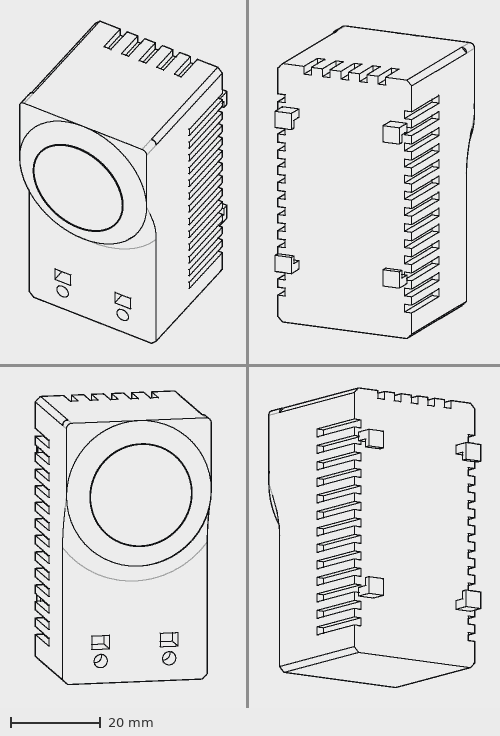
import cadquery as cq
import math

width = 33.0
height = 60.0
body_depth = 28.6
head_depth = 32.75
corner = 1.2

dial_radius = width / 2
dial_z = height - dial_radius
dome_tip = 37.0
groove_outer_radius = 11.65
groove_width = 0.1
groove_floor = 34.8

slot_width = 1.8
slot_depth = 1.8
side_slot_count = 13
side_slot_row = 44.9
side_slot_length = 14.35
side_slot_middle_z = 29.45
top_slot_count = 5
top_slot_pitch = 4.55
top_slot_length = 7.0

hook_width = 4.0
hook_reach = 3.95
hook_arm = 2.0
hook_lip = 1.4
hook_height = 3.8
hook_outer_x = width / 2 - corner
upper_hook_z = 50.0
lower_hook_z = 12.8

terminal_x = 7.8
terminal_depth = 6.0
window_width = 4.1
window_height = 3.05
window_z = 9.25
screw_diameter = 3.0
screw_z = 5.05


def block(x_min, x_max, y_min, y_max, z_min, z_max):
    """Box given by its limits along each axis."""
    size = (x_max - x_min, y_max - y_min, z_max - z_min)
    return cq.Workplane("XY").box(*size, centered=False).translate((x_min, y_min, z_min))


def revolve_about_dial(profile):
    """Turn a profile of (radius, Y) points about the dial axis."""
    return profile.close().revolve(360, (0, 0, 0), (0, 1, 0)).translate((0, 0, dial_z))


def make_body():
    body = block(-width / 2, width / 2, -body_depth, 0, 0, height)
    return body.edges("|Y").chamfer(corner)


def make_head():
    """Raised upper block that flares from the dial rim down to the body face."""
    upper = block(-width / 2, width / 2, -head_depth, -body_depth, dial_z, height)
    upper = upper.edges("|Y and >Z").fillet(corner)

    flare = head_depth - body_depth
    foot_radius = dial_radius + flare
    arc_middle = (
        foot_radius - flare * math.sqrt(0.5),
        -head_depth + flare * math.sqrt(0.5),
    )
    skirt = revolve_about_dial(
        cq.Workplane("XY")
        .moveTo(0, -head_depth)
        .lineTo(dial_radius, -head_depth)
        .threePointArc(arc_middle, (foot_radius, -body_depth))
        .lineTo(0, -body_depth)
    )
    lower_half = block(-width / 2, width / 2, -head_depth, -body_depth, 0, dial_z)
    return upper.union(skirt.intersect(lower_half))


def make_dome():
    """Shallow spherical cap with a fine ring groove around the dial."""
    rise = dome_tip - head_depth
    sphere_radius = (dial_radius**2 + rise**2) / (2 * rise)
    middle_radius = dial_radius / 2
    middle_y = sphere_radius - dome_tip - math.sqrt(sphere_radius**2 - middle_radius**2)
    cap = revolve_about_dial(
        cq.Workplane("XY")
        .moveTo(0, -body_depth)
        .lineTo(0, -dome_tip)
        .threePointArc((middle_radius, middle_y), (dial_radius, -head_depth))
        .lineTo(dial_radius, -body_depth)
    )
    groove = (
        cq.Workplane("XZ", origin=(0, -groove_floor, dial_z))
        .circle(groove_outer_radius)
        .circle(groove_outer_radius - groove_width)
        .extrude(dome_tip - groove_floor)
    )
    return cap.cut(groove)


def make_hook_pair(z_outer, lip_direction):
    """Pair of hooks at one level; the lips point up (+1) or down (-1)."""
    z_arm = z_outer + lip_direction * hook_arm
    z_tip = z_outer + lip_direction * hook_height
    profile = [
        (0, z_outer),
        (hook_reach, z_outer),
        (hook_reach, z_tip),
        (hook_reach - hook_lip, z_tip),
        (hook_reach - hook_lip, z_arm),
        (0, z_arm),
    ]
    left = cq.Workplane("YZ", origin=(-hook_outer_x, 0, 0)).polyline(profile).close().extrude(hook_width)
    return left.union(left.mirror("YZ"))


def make_slots():
    """Slots open to the back: a row up each side and a row across the top."""
    slots = cq.Workplane("XY")
    for index in range(side_slot_count):
        z = side_slot_middle_z + (index / (side_slot_count - 1) - 0.5) * side_slot_row
        z_min = z - slot_width / 2
        inner_x = width / 2 - slot_depth
        side_slot = block(inner_x, width / 2, -side_slot_length, 0, z_min, z_min + slot_width)
        slots = slots.add(side_slot).add(side_slot.mirror("YZ"))
    for index in range(top_slot_count):
        x_min = (index - (top_slot_count - 1) / 2) * top_slot_pitch - slot_width / 2
        slots = slots.add(
            block(x_min, x_min + slot_width, -top_slot_length, 0, height - slot_depth, height)
        )
    return slots.combine()


def make_terminals():
    """A rectangular window above a round screw hole on each side of the front."""
    face = cq.Workplane("XZ", origin=(0, -body_depth, 0))
    windows = (
        face.pushPoints([(-terminal_x, window_z), (terminal_x, window_z)])
        .rect(window_width, window_height)
        .extrude(-terminal_depth)
    )
    screws = (
        face.pushPoints([(-terminal_x, screw_z), (terminal_x, screw_z)])
        .circle(screw_diameter / 2)
        .extrude(-terminal_depth)
    )
    return windows.add(screws).combine()


housing = make_body().union(make_head()).union(make_dome())
housing = housing.cut(make_slots()).cut(make_terminals())
result = housing.union(make_hook_pair(upper_hook_z, -1)).union(make_hook_pair(lower_hook_z, 1))